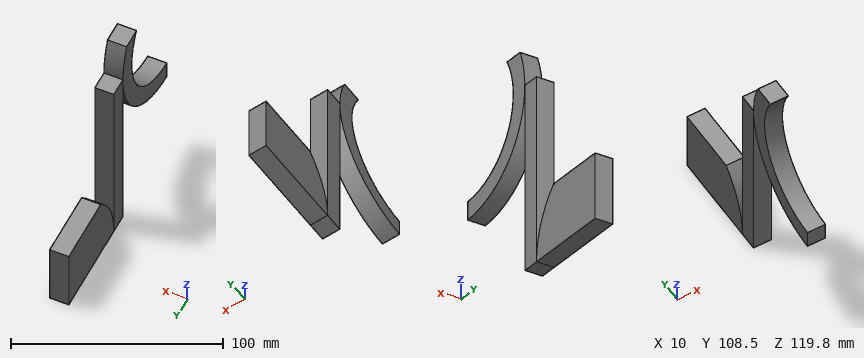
import cadquery as cq
import math

thickness = 10.0
radius = 50.0
upright_height = 100.0
total_height = 119.8
total_length = 108.5

upright_front = -thickness
hook_center_y = upright_front - radius
hook_center_z = upright_height
hook_end_y = radius - total_length
hook_inner_radius = radius - thickness
block_height = radius * math.sin(math.radians(45))


def side_plane():
    """YZ sketch plane placed so that extrusions are centred on X = 0."""
    return cq.Workplane("YZ").workplane(offset=-thickness / 2)


def make_upright():
    """Plain rectangular post."""
    return (
        side_plane()
        .moveTo(upright_front, 0)
        .lineTo(0, 0)
        .lineTo(0, upright_height)
        .lineTo(upright_front, upright_height)
        .close()
        .extrude(thickness)
    )


def make_block():
    """Quarter disc centred on its lower back corner, cut flat at 45 degrees of arc."""
    mid_angle = math.radians(22.5)
    arc_mid = (radius - radius * math.cos(mid_angle), radius * math.sin(mid_angle))
    arc_top = (radius - block_height, block_height)
    return (
        side_plane()
        .moveTo(radius, 0)
        .lineTo(0, 0)
        .threePointArc(arc_mid, arc_top)
        .lineTo(radius, block_height)
        .close()
        .extrude(thickness)
    )


def make_hook():
    """Curved band touching the upright's top edge, trimmed flat at its top and front ends."""
    ring = (
        side_plane()
        .center(hook_center_y, hook_center_z)
        .circle(radius)
        .circle(hook_inner_radius)
        .extrude(thickness)
    )
    bottom_z = hook_center_z - radius
    trim = (
        side_plane()
        .moveTo(hook_end_y, bottom_z)
        .lineTo(upright_front, bottom_z)
        .lineTo(upright_front, total_height)
        .lineTo(hook_end_y, total_height)
        .close()
        .extrude(thickness)
    )
    return ring.intersect(trim)


upright = make_upright()
block = make_block()
hook = make_hook()

result = cq.Compound.makeCompound([upright.val(), block.val(), *hook.solids().vals()])